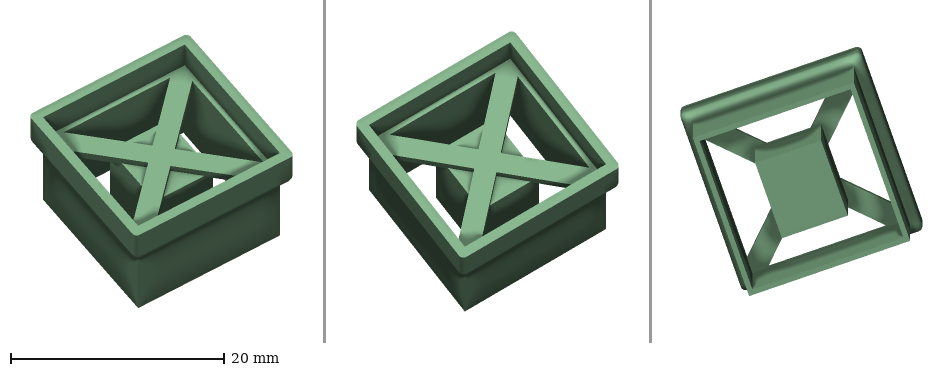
import cadquery as cq

collar_size = 18.0
total_height = 12.0
collar_bottom = 8.0
collar_corner_radius = 0.5
collar_bottom_radius = 0.99
tube_size = 16.0
opening_size = 15.0
pocket_size = tube_size
shelf_height = 9.0

brace_span = 15.7
bar_width = 2.12
brace_thickness = 0.8
brace_bottom = shelf_height - brace_thickness

sleeve_x = 7.6
sleeve_y = 6.55
core_x = 5.65
core_y = 3.7
stem_seat_depth = 0.1
stem_top = brace_bottom + stem_seat_depth


def block(size_x, size_y, bottom, top):
    """Box centred on the Z axis, between two heights."""
    return cq.Workplane("XY", origin=(0, 0, bottom)).rect(size_x, size_y).extrude(top - bottom)


def make_brace_blank():
    """Diagonal cross before the stem seat is cut; the housing recess has the same shape."""
    bar_length = 2 * brace_span
    bar = block(bar_length, bar_width, brace_bottom, shelf_height)
    trim = block(brace_span, brace_span, brace_bottom, shelf_height)
    rising_bar = bar.rotate((0, 0, 0), (0, 0, 1), 45)
    falling_bar = bar.rotate((0, 0, 0), (0, 0, 1), -45)
    return rising_bar.union(falling_bar).intersect(trim)


def make_brace():
    stem_seat = block(sleeve_x, sleeve_y, brace_bottom, stem_top)
    return make_brace_blank().cut(stem_seat)


def make_housing():
    collar = block(collar_size, collar_size, collar_bottom, total_height)
    collar = collar.edges("|Z").fillet(collar_corner_radius)
    collar = collar.faces("<Z").edges().fillet(collar_bottom_radius)
    housing = collar.union(block(tube_size, tube_size, 0, collar_bottom))
    housing = housing.cut(block(pocket_size, pocket_size, shelf_height, total_height))
    housing = housing.cut(block(opening_size, opening_size, 0, total_height))
    return housing.cut(make_brace_blank())


def make_core():
    return block(core_x, core_y, 0, stem_top)


def make_sleeve():
    return block(sleeve_x, sleeve_y, 0, stem_top).cut(make_core())


housing = make_housing()
brace = make_brace()
sleeve = make_sleeve()
core = make_core()

bodies = [housing, brace, sleeve, core]
result = cq.Compound.makeCompound([body.solids().val() for body in bodies])